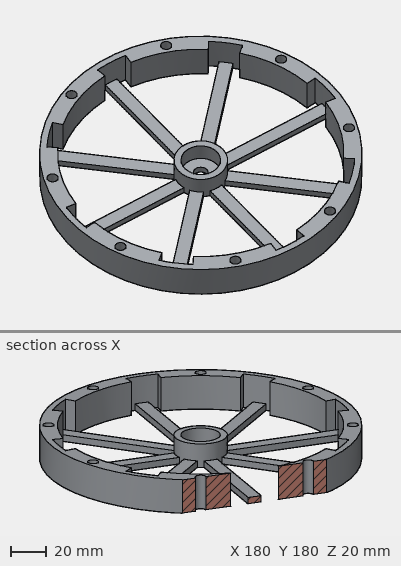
import cadquery as cq
import math

outer_radius = 90.0
rim_height = 20.0
notch_radius = 86.0
rim_inner_radius = 80.0

spoke_count = 8
spoke_pitch = 360 / spoke_count
spoke_width = 8.0
spoke_height = 4.0
notch_angle = 12.8

hub_radius = 15.0
hub_height = 14.0
pocket_radius = 11.0
shaft_hole_radius = 4.1

bolt_circle_radius = 85.0
bolt_hole_radius = 3.0


def polar(radius, angle):
    """Point at a radius and an angle in degrees."""
    return (radius * math.cos(math.radians(angle)), radius * math.sin(math.radians(angle)))


def cylinder(radius, height):
    return cq.Workplane("XY").circle(radius).extrude(height)


def make_notch(angle):
    """Full-height ring sector with radial sides and an arc at its outer end."""
    start = angle - notch_angle / 2
    end = angle + notch_angle / 2
    inner_radius = hub_radius
    return (
        cq.Workplane("XY")
        .moveTo(*polar(inner_radius, start))
        .lineTo(*polar(notch_radius, start))
        .threePointArc(polar(notch_radius, angle), polar(notch_radius, end))
        .lineTo(*polar(inner_radius, end))
        .close()
        .extrude(rim_height)
    )


def make_rim():
    rim = cylinder(outer_radius, rim_height).cut(cylinder(rim_inner_radius, rim_height))
    for index in range(spoke_count):
        rim = rim.cut(make_notch(index * spoke_pitch))
    bolt_holes = (
        cq.Workplane("XY")
        .polarArray(bolt_circle_radius, spoke_pitch / 2, 360, spoke_count)
        .circle(bolt_hole_radius)
        .extrude(rim_height)
    )
    return rim.cut(bolt_holes)


def make_spokes():
    """Bars across the full diameter, trimmed to overlap the thin part of the rim."""
    bar_length = 2 * outer_radius
    spokes = cq.Workplane("XY")
    for index in range(spoke_count // 2):
        bar = cq.Workplane("XY").box(bar_length, spoke_width, spoke_height, centered=(True, True, False))
        spokes = spokes.add(bar.rotate((0, 0, 0), (0, 0, 1), index * spoke_pitch))
    trim_radius = (notch_radius + outer_radius) / 2
    return spokes.combine().intersect(cylinder(trim_radius, spoke_height))


def cut_hub_bores(body):
    pocket = cylinder(pocket_radius, hub_height).translate((0, 0, spoke_height))
    return body.cut(pocket).cut(cylinder(shaft_hole_radius, hub_height))


wheel = make_rim().union(make_spokes()).union(cylinder(hub_radius, hub_height))
result = cut_hub_bores(wheel)